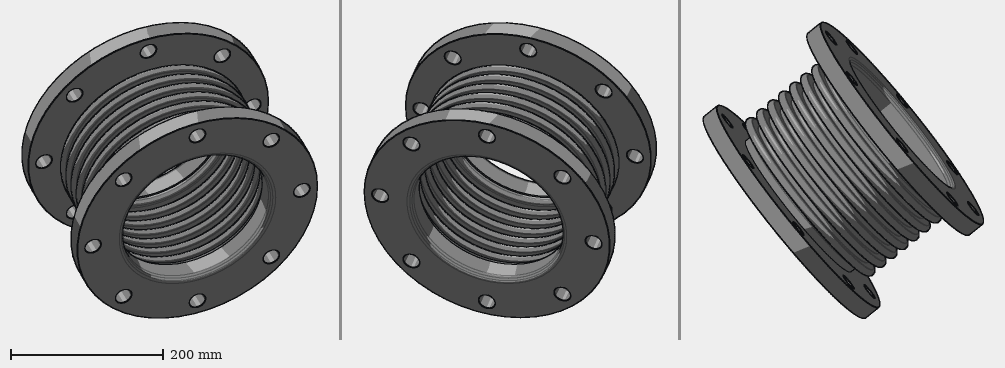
import cadquery as cq
import math

LENGTH = 200.0
HALF_LENGTH = LENGTH / 2

FLANGE_RADIUS = 340.0 / 2
FLANGE_THICKNESS = 24.0
EDGE_CHAMFER = 0.8
BOLT_HOLE_DIAMETER = 22.0
BOLT_CIRCLE_RADIUS = 295.0 / 2
BOLT_COUNT = 8

PIPE_OUTER_RADIUS = 221.1 / 2
PIPE_INNER_RADIUS = 206.5 / 2

COUNTERBORE_RADIUS = 211.1 / 2
COUNTERBORE_DEPTH = 4.0

MOUTH_ROUND = 5.0
MOUTH_SIZE = PIPE_OUTER_RADIUS - PIPE_INNER_RADIUS

CONVOLUTION_COUNT = 7
BELLOWS_LENGTH = 131.2
BELLOWS_HALF_LENGTH = BELLOWS_LENGTH / 2
CONVOLUTION_PITCH = BELLOWS_LENGTH / CONVOLUTION_COUNT
BELLOWS_WALL = 1.0
CREST_RADIUS = 263.6 / 2
ROOT_RADIUS = PIPE_OUTER_RADIUS
CREST_ARC = 5.4
ROOT_ARC = CONVOLUTION_PITCH / 2 - CREST_ARC


def add_convolutions(path, direction, root_radius, end_radius, root_arc, crest_radius, crest_arc):
    """Extend a profile over all convolutions along +X or -X; the outermost roots lie at end_radius."""
    diagonal = math.sqrt(0.5)
    crest_centre = crest_radius - crest_arc
    bend = direction * root_arc * (1 - diagonal)
    bend_rise = root_arc * (1 - diagonal)
    first_crest = -direction * (CONVOLUTION_COUNT - 1) * CONVOLUTION_PITCH / 2
    last = CONVOLUTION_COUNT - 1
    for index in range(CONVOLUTION_COUNT):
        crest = first_crest + direction * index * CONVOLUTION_PITCH
        near_root_radius = end_radius if index == 0 else root_radius
        far_root_radius = end_radius if index == last else root_radius
        near_flank = crest - direction * crest_arc
        far_flank = crest + direction * crest_arc
        far_root = far_flank + direction * root_arc
        path = (
            path.threePointArc(
                (near_flank - bend, near_root_radius + bend_rise),
                (near_flank, near_root_radius + root_arc),
            )
            .lineTo(near_flank, crest_centre)
            .threePointArc((crest, crest_radius), (far_flank, crest_centre))
            .lineTo(far_flank, far_root_radius + root_arc)
            .threePointArc(
                (far_flank + bend, far_root_radius + bend_rise),
                (far_root, far_root_radius),
            )
        )
    return path


def make_bellows():
    """Corrugated tube between the two stubs, thickened where it flares out of their counterbores."""
    path = cq.Workplane("XY").moveTo(-BELLOWS_HALF_LENGTH, ROOT_RADIUS)
    path = add_convolutions(path, 1, ROOT_RADIUS, ROOT_RADIUS, ROOT_ARC, CREST_RADIUS, CREST_ARC)
    path = path.lineTo(BELLOWS_HALF_LENGTH, COUNTERBORE_RADIUS)
    path = add_convolutions(
        path,
        -1,
        ROOT_RADIUS - BELLOWS_WALL,
        COUNTERBORE_RADIUS,
        ROOT_ARC + BELLOWS_WALL,
        CREST_RADIUS - BELLOWS_WALL,
        CREST_ARC - BELLOWS_WALL,
    )
    return path.close().revolve(360, (0, 0, 0), (1, 0, 0))


def make_end():
    """Flange and pipe stub at the -X end."""
    face = -HALF_LENGTH
    flange_back = face + FLANGE_THICKNESS
    bore_end = -BELLOWS_HALF_LENGTH - COUNTERBORE_DEPTH
    round_long = MOUTH_ROUND * math.sqrt(0.5)
    round_short = MOUTH_ROUND - round_long
    body = (
        cq.Workplane("XY")
        .moveTo(face, PIPE_OUTER_RADIUS)
        .lineTo(face, FLANGE_RADIUS - EDGE_CHAMFER)
        .lineTo(face + EDGE_CHAMFER, FLANGE_RADIUS)
        .lineTo(flange_back - EDGE_CHAMFER, FLANGE_RADIUS)
        .lineTo(flange_back, FLANGE_RADIUS - EDGE_CHAMFER)
        .lineTo(flange_back, PIPE_OUTER_RADIUS)
        .lineTo(-BELLOWS_HALF_LENGTH, PIPE_OUTER_RADIUS)
        .lineTo(-BELLOWS_HALF_LENGTH, COUNTERBORE_RADIUS)
        .lineTo(bore_end, COUNTERBORE_RADIUS)
        .lineTo(bore_end, PIPE_INNER_RADIUS)
        .lineTo(face + MOUTH_SIZE, PIPE_INNER_RADIUS)
        .tangentArcPoint(
            (face + MOUTH_SIZE - round_long, PIPE_INNER_RADIUS + round_short), relative=False
        )
        .lineTo(face + round_short, PIPE_OUTER_RADIUS - round_long)
        .tangentArcPoint((face, PIPE_OUTER_RADIUS), relative=False)
        .close()
        .revolve(360, (0, 0, 0), (1, 0, 0))
    )
    return body.cut(make_bolt_holes(face))


def make_bolt_holes(face):
    """Cutters for the bolt holes, widened at both flange faces to chamfer their rims."""
    flange_back = face + FLANGE_THICKNESS
    hole_radius = BOLT_HOLE_DIAMETER / 2
    rim_radius = hole_radius + EDGE_CHAMFER
    cutter = (
        cq.Workplane("XY")
        .moveTo(face, 0)
        .lineTo(face, rim_radius)
        .lineTo(face + EDGE_CHAMFER, hole_radius)
        .lineTo(flange_back - EDGE_CHAMFER, hole_radius)
        .lineTo(flange_back, rim_radius)
        .lineTo(flange_back, 0)
        .close()
        .revolve(360, (0, 0, 0), (1, 0, 0))
        .translate((0, BOLT_CIRCLE_RADIUS, 0))
    )
    holes = cq.Workplane("XY")
    for index in range(BOLT_COUNT):
        holes = holes.add(cutter.rotate((0, 0, 0), (1, 0, 0), index * 360 / BOLT_COUNT))
    return holes.combine()


near_end = make_end()
far_end = near_end.mirror("YZ")
result = make_bellows().union(near_end).union(far_end)